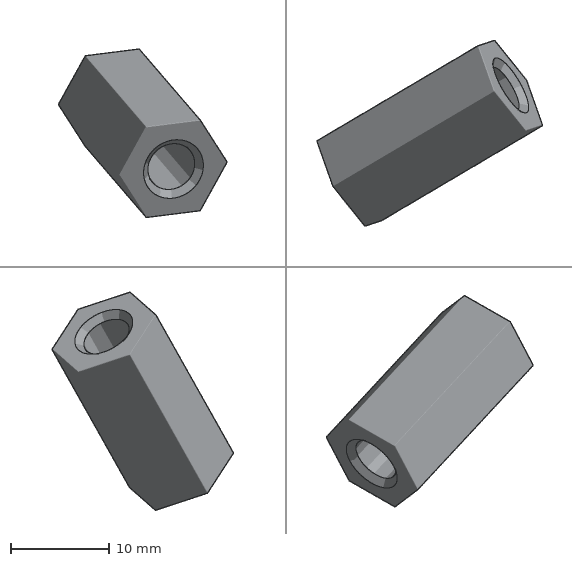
import cadquery as cq
import math

length = 20.0
hex_sides = 6
across_flats = 10.0
edge_radius = 0.1

bore_diameter = 5.0
countersink_diameter = 6.4
countersink_angle = 90.0

across_corners = across_flats / math.cos(math.pi / hex_sides)


def make_hex_body():
    """Hexagonal bar centred on the origin, with every edge rounded."""
    bar = cq.Workplane("YZ").polygon(hex_sides, across_corners).extrude(length / 2, both=True)
    return bar.edges().fillet(edge_radius)


def make_bore():
    """Revolved cutter: a straight bore that flares into a cone at both ends."""
    half_length = length / 2
    bore_radius = bore_diameter / 2
    countersink_radius = countersink_diameter / 2
    half_angle = math.radians(countersink_angle / 2)
    countersink_depth = (countersink_radius - bore_radius) / math.tan(half_angle)
    cone_start = half_length - countersink_depth
    profile = [
        (-half_length, 0),
        (-half_length, countersink_radius),
        (-cone_start, bore_radius),
        (cone_start, bore_radius),
        (half_length, countersink_radius),
        (half_length, 0),
    ]
    return cq.Workplane("XY").polyline(profile).close().revolve(360, (0, 0, 0), (1, 0, 0))


result = make_hex_body().cut(make_bore())